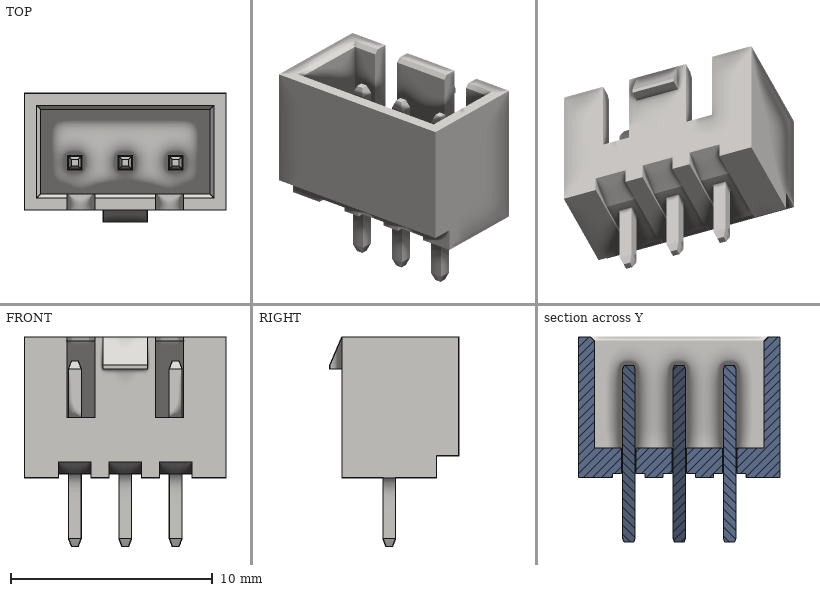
import cadquery as cq

HOUSING_LENGTH = 10.0
HOUSING_DEPTH = 5.8
HOUSING_HEIGHT = 7.0
FRONT_Y = -2.35
BACK_Y = FRONT_Y + HOUSING_DEPTH
REAR_STEP = 1.1

WALL = 0.8
CAVITY_FLOOR_Z = 1.5
RIM_CHAMFER = 0.2

SLOT_WIDTH = 1.39
SLOT_OUTER_X = 2.9
SLOT_CENTER_X = SLOT_OUTER_X - SLOT_WIDTH / 2
SLOT_FLOOR_Z = 3.0

LATCH_WIDTH = 2.2
LATCH_REACH = 0.6
LATCH_HEIGHT = 1.6
LATCH_LIP = 0.2

PIN_COUNT = 3
PIN_PITCH = 2.5
PIN_SIZE = 0.64
PIN_TIP_SIZE = 0.34
PIN_TAPER = 0.4
PIN_TOP_Z = 5.8
PIN_BOTTOM_Z = -3.4
PIN_HOLE_SIZE = 0.7

CHANNEL_WIDTH = 1.6
CHANNEL_MOUTH_HEIGHT = 0.8
CHANNEL_HEIGHT = 0.2
CHANNEL_SLOPE_LENGTH = 1.5

pin_positions = [(i - (PIN_COUNT - 1) / 2) * PIN_PITCH for i in range(PIN_COUNT)]


def extrude_along_x(profile, width, center_x):
    """Extrude a (Y, Z) outline symmetrically about X = center_x."""
    sketch = cq.Workplane("YZ", origin=(center_x, 0, 0)).polyline(profile).close()
    return sketch.extrude(width / 2, both=True)


def block():
    """Housing blank with a step along the lower rear edge."""
    profile = [
        (FRONT_Y, 0),
        (BACK_Y - REAR_STEP, 0),
        (BACK_Y - REAR_STEP, REAR_STEP),
        (BACK_Y, REAR_STEP),
        (BACK_Y, HOUSING_HEIGHT),
        (FRONT_Y, HOUSING_HEIGHT),
    ]
    return extrude_along_x(profile, HOUSING_LENGTH, 0)


def cavity():
    """Rectangular cavity whose mouth flares out at the rim."""
    length = HOUSING_LENGTH - 2 * WALL
    depth = HOUSING_DEPTH - 2 * WALL
    center_y = (FRONT_Y + BACK_Y) / 2
    pocket = (
        cq.Workplane("XY", origin=(0, center_y, CAVITY_FLOOR_Z))
        .rect(length, depth)
        .extrude(HOUSING_HEIGHT - CAVITY_FLOOR_Z)
    )
    flare = (
        cq.Workplane("XY", origin=(0, center_y, HOUSING_HEIGHT - RIM_CHAMFER))
        .rect(length, depth)
        .workplane(offset=RIM_CHAMFER)
        .rect(length + 2 * RIM_CHAMFER, depth + 2 * RIM_CHAMFER)
        .loft(ruled=True)
    )
    return pocket.union(flare)


def front_slot(center_x):
    """Slot through the front wall, open at the top."""
    return cq.Workplane("XY", origin=(center_x, FRONT_Y, SLOT_FLOOR_Z)).box(
        SLOT_WIDTH, WALL, HOUSING_HEIGHT - SLOT_FLOOR_Z, centered=(True, False, False)
    )


def latch():
    """Wedge that slopes out from the top edge and ends in a short lip."""
    bottom_z = HOUSING_HEIGHT - LATCH_HEIGHT
    profile = [
        (FRONT_Y, HOUSING_HEIGHT),
        (FRONT_Y - LATCH_REACH, bottom_z + LATCH_LIP),
        (FRONT_Y - LATCH_REACH, bottom_z),
        (FRONT_Y, bottom_z),
    ]
    return extrude_along_x(profile, LATCH_WIDTH, 0)


def underside_channel(center_x):
    """Shallow channel whose roof slopes up toward the front face."""
    profile = [
        (FRONT_Y, 0),
        (FRONT_Y, CHANNEL_MOUTH_HEIGHT),
        (FRONT_Y + CHANNEL_SLOPE_LENGTH, CHANNEL_HEIGHT),
        (BACK_Y - REAR_STEP, CHANNEL_HEIGHT),
        (BACK_Y - REAR_STEP, 0),
    ]
    return extrude_along_x(profile, CHANNEL_WIDTH, center_x)


def pin_hole(center_x):
    """Square hole through the cavity floor with a slight clearance around the pin."""
    section = cq.Workplane("XY", origin=(center_x, 0, 0)).rect(PIN_HOLE_SIZE, PIN_HOLE_SIZE)
    return section.extrude(CAVITY_FLOOR_Z)


def make_housing():
    """Complete housing with latch, slots, channels and pin holes."""
    body = block().cut(cavity()).union(latch())
    for slot_x in (-SLOT_CENTER_X, SLOT_CENTER_X):
        body = body.cut(front_slot(slot_x))
    for pin_x in pin_positions:
        body = body.cut(underside_channel(pin_x)).cut(pin_hole(pin_x))
    return body


def pin_tip(center_x, base_z, taper):
    """Tapered pin end that starts at base_z and runs by the signed length taper."""
    return (
        cq.Workplane("XY", origin=(center_x, 0, base_z))
        .rect(PIN_SIZE, PIN_SIZE)
        .workplane(offset=taper)
        .rect(PIN_TIP_SIZE, PIN_TIP_SIZE)
        .loft(ruled=True)
    )


def make_pin(center_x):
    """Square pin, tapered at both ends."""
    shank_top = PIN_TOP_Z - PIN_TAPER
    shank_bottom = PIN_BOTTOM_Z + PIN_TAPER
    shank = (
        cq.Workplane("XY", origin=(center_x, 0, shank_bottom))
        .rect(PIN_SIZE, PIN_SIZE)
        .extrude(shank_top - shank_bottom)
    )
    top_tip = pin_tip(center_x, shank_top, PIN_TAPER)
    bottom_tip = pin_tip(center_x, shank_bottom, -PIN_TAPER)
    return shank.union(top_tip).union(bottom_tip)


housing = make_housing()
pins = [make_pin(pin_x) for pin_x in pin_positions]

result = cq.Compound.makeCompound([housing.val(), *[pin.val() for pin in pins]])